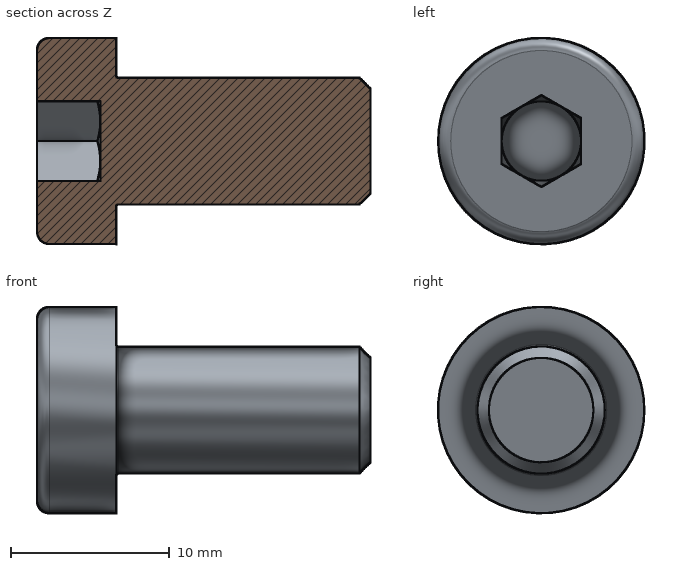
import cadquery as cq
import math

total_length = 21.0
head_diameter = 13.0
head_height = 5.0
head_edge_radius = 0.8
shank_diameter = 8.0
neck_fillet = 0.13
tip_chamfer = 0.71
socket_width = 5.0
socket_depth = 4.0
socket_corner_diameter = socket_width / math.cos(math.pi / 6)
socket_floor_angle = 25.0

head_face_x = -total_length / 2


def cylinder(diameter, start_x, length):
    plane = cq.Workplane("YZ", origin=(start_x, 0, 0))
    return plane.circle(diameter / 2).extrude(length)


def make_socket():
    """Hexagonal recess, corners on +Z and -Z, with a flat round floor and conical bottom corners."""
    hexagon = (
        cq.Workplane("YZ", origin=(head_face_x, 0, 0))
        .transformed(rotate=(0, 0, 90))
        .polygon(6, socket_corner_diameter)
        .extrude(socket_depth)
    )
    floor_x = head_face_x + socket_depth
    floor_radius = socket_width / 2
    corner_radius = socket_corner_diameter / 2
    corner_rise = (corner_radius - floor_radius) * math.tan(math.radians(socket_floor_angle))
    envelope = (
        cq.Workplane("XY")
        .moveTo(head_face_x, 0)
        .lineTo(floor_x, 0)
        .lineTo(floor_x, floor_radius)
        .lineTo(floor_x - corner_rise, corner_radius)
        .lineTo(head_face_x, corner_radius)
        .close()
        .revolve(360, (0, 0, 0), (1, 0, 0))
    )
    return hexagon.intersect(envelope)


neck_x = head_face_x + head_height
head = cylinder(head_diameter, head_face_x, head_height)
head = head.faces("<X").edges().fillet(head_edge_radius)

shank = cylinder(shank_diameter, neck_x, total_length - head_height)
shank = shank.faces(">X").edges().chamfer(tip_chamfer)

screw = head.union(shank)
neck_plane = cq.selectors.BoxSelector(
    (neck_x - neck_fillet, -head_diameter, -head_diameter),
    (neck_x + neck_fillet, head_diameter, head_diameter),
)
screw = screw.edges(neck_plane).edges(cq.selectors.RadiusNthSelector(0)).fillet(neck_fillet)

result = screw.cut(make_socket())